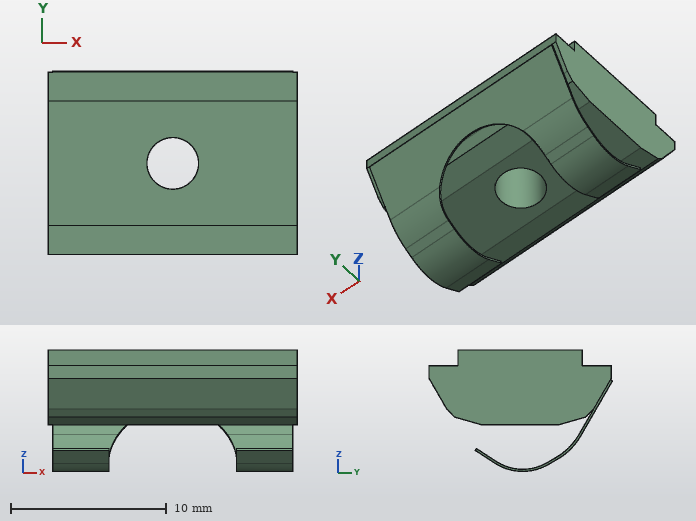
import cadquery as cq
import math


BLOCK_LENGTH = 16.0
BLOCK_WIDTH = 11.7
NECK_WIDTH = 8.0
NECK_HEIGHT = 1.0
BASE_WIDTH = 5.0
BLOCK_HEIGHT = 4.8
FLANK_TOP = -1.82
FLANK_BOTTOM = -3.78
BEVEL_BOTTOM = -4.31
FLANK_ANGLE = 60.0
BEVEL_ANGLE = 46.0
HOLE_DIAMETER = 3.3

SPRING_LENGTH = 15.4
SPRING_THICKNESS = 0.15
SPRING_BOTTOM = -7.8
EDGE_SETBACK = 0.1
FLANK_LEG = 4.07
UPPER_BEND_RADIUS = 4.0
MIDDLE_ANGLE = 30.0
LOWER_BEND_RADIUS = 3.1
TAIL_ANGLE = -33.0
TAIL_LEG = 1.52

CUTOUT_WIDTH = 8.17
CUTOUT_CENTER = 6.15
CUTOUT_REACH = 5.0
CUTOUT_DEPTH = 10.0


def heading(angle):
    """Unit (y, z) direction toward -Y that falls at the given angle."""
    return -math.cos(math.radians(angle)), -math.sin(math.radians(angle))


def outward(angle):
    """Unit (y, z) normal to the heading, on the convex side of the spring."""
    return math.sin(math.radians(angle)), -math.cos(math.radians(angle))


def move(point, direction, distance):
    return point[0] + direction[0] * distance, point[1] + direction[1] * distance


def bend(start, radius, angle_in, angle_out):
    """Middle and end points of an arc that turns between two headings."""
    center = move(start, outward(angle_in), -radius)
    middle = move(center, outward((angle_in + angle_out) / 2), radius)
    return middle, move(center, outward(angle_out), radius)


def extrude_along_x(profile, length):
    return profile.close().extrude(length / 2, both=True)


def make_block():
    flank_inset = (FLANK_TOP - FLANK_BOTTOM) / math.tan(math.radians(FLANK_ANGLE))
    bevel_inset = (FLANK_BOTTOM - BEVEL_BOTTOM) / math.tan(math.radians(BEVEL_ANGLE))
    flank_foot = BLOCK_WIDTH / 2 - flank_inset
    half_profile = [
        (NECK_WIDTH / 2, 0),
        (NECK_WIDTH / 2, -NECK_HEIGHT),
        (BLOCK_WIDTH / 2, -NECK_HEIGHT),
        (BLOCK_WIDTH / 2, FLANK_TOP),
        (flank_foot, FLANK_BOTTOM),
        (flank_foot - bevel_inset, BEVEL_BOTTOM),
        (BASE_WIDTH / 2, -BLOCK_HEIGHT),
    ]
    mirrored = [(-y, z) for y, z in reversed(half_profile)]
    block = extrude_along_x(cq.Workplane("YZ").polyline(half_profile + mirrored), BLOCK_LENGTH)
    hole = cq.Workplane("XY").circle(HOLE_DIAMETER / 2).extrude(-BLOCK_HEIGHT)
    return block.cut(hole)


def make_strip(edge):
    """Bent strip whose concave face starts at the given point on the flank."""
    inner_bottom = SPRING_BOTTOM + SPRING_THICKNESS
    middle_radians = math.radians(MIDDLE_ANGLE)

    bend_1 = move(edge, heading(FLANK_ANGLE), FLANK_LEG)
    bend_1_middle, bend_1_end = bend(bend_1, UPPER_BEND_RADIUS, FLANK_ANGLE, MIDDLE_ANGLE)
    lower_bend_drop = LOWER_BEND_RADIUS * (1 - math.cos(middle_radians))
    middle_leg = (bend_1_end[1] - inner_bottom - lower_bend_drop) / math.sin(middle_radians)
    bend_2 = move(bend_1_end, heading(MIDDLE_ANGLE), middle_leg)
    bend_2_middle, bend_2_end = bend(bend_2, LOWER_BEND_RADIUS, MIDDLE_ANGLE, TAIL_ANGLE)
    tip = move(bend_2_end, heading(TAIL_ANGLE), TAIL_LEG)

    def outer(point, angle):
        return move(point, outward(angle), SPRING_THICKNESS)

    bend_1_angle = (FLANK_ANGLE + MIDDLE_ANGLE) / 2
    bend_2_angle = (MIDDLE_ANGLE + TAIL_ANGLE) / 2
    profile = (
        cq.Workplane("YZ")
        .moveTo(*edge)
        .lineTo(*bend_1)
        .threePointArc(bend_1_middle, bend_1_end)
        .lineTo(*bend_2)
        .threePointArc(bend_2_middle, bend_2_end)
        .lineTo(*tip)
        .lineTo(*outer(tip, TAIL_ANGLE))
        .lineTo(*outer(bend_2_end, TAIL_ANGLE))
        .threePointArc(outer(bend_2_middle, bend_2_angle), outer(bend_2, MIDDLE_ANGLE))
        .lineTo(*outer(bend_1_end, MIDDLE_ANGLE))
        .threePointArc(outer(bend_1_middle, bend_1_angle), outer(bend_1, FLANK_ANGLE))
        .lineTo(*outer(edge, FLANK_ANGLE))
    )
    return extrude_along_x(profile, SPRING_LENGTH)


def make_cutout(edge):
    """Round-ended slot square to the flank, open toward the spring's tail."""
    center = move(edge, heading(FLANK_ANGLE), CUTOUT_CENTER)
    radius = CUTOUT_WIDTH / 2
    flank_plane = cq.Plane(
        origin=(0, *center),
        xDir=(1, 0, 0),
        normal=(0, *outward(FLANK_ANGLE)),
    )
    return (
        cq.Workplane(flank_plane)
        .moveTo(-radius, CUTOUT_REACH)
        .lineTo(-radius, 0)
        .threePointArc((0, -radius), (radius, 0))
        .lineTo(radius, CUTOUT_REACH)
        .close()
        .extrude(CUTOUT_DEPTH, both=True)
    )


def make_spring():
    flank_head = (BLOCK_WIDTH / 2, FLANK_TOP)
    edge = move(flank_head, heading(FLANK_ANGLE), EDGE_SETBACK)
    return make_strip(edge).cut(make_cutout(edge))


result = make_block().union(make_spring())